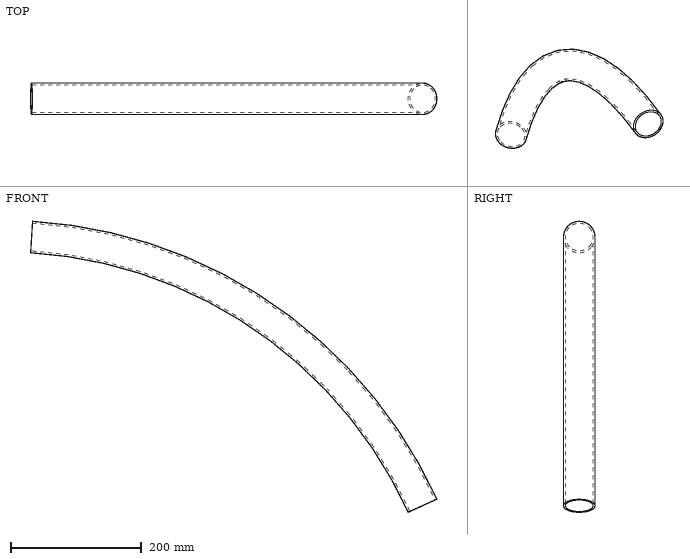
import cadquery as cq

outer_diameter = 48.5
wall_thickness = 3.0
bend_radius = 704.5
upper_end_angle = 86.5
lower_end_angle = 24.5
bend_angle = upper_end_angle - lower_end_angle

outer_radius = outer_diameter / 2
inner_radius = outer_radius - wall_thickness

tube = (
    cq.Workplane("XY")
    .center(bend_radius, 0)
    .circle(outer_radius)
    .circle(inner_radius)
    .revolve(bend_angle, (-bend_radius, 0, 0), (-bend_radius, -1, 0))
)

result = tube.rotate((0, 0, 0), (0, -1, 0), lower_end_angle)